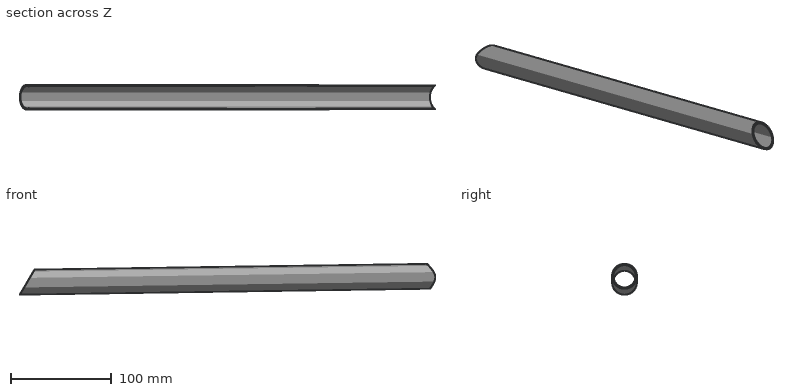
import cadquery as cq
import math

outer_diameter = 25.0
wall = 1.5
axis_length = 398.69
tube_slope = 0.831
mitre_lean = 30.5
saddle_radius = 15.0
saddle_lean = 7.0

outer_radius = outer_diameter / 2
inner_radius = outer_radius - wall
end_allowance = 2 * outer_diameter
cutter_size = 4 * outer_diameter

slope = math.radians(tube_slope)
axis_direction = cq.Vector(math.cos(slope), 0, math.sin(slope))
mitre_centre = cq.Vector(0, 0, 0)


def make_tube():
    """Plain sloping tube, overlong at both ends."""
    start = mitre_centre - axis_direction * end_allowance
    profile_plane = cq.Plane(origin=start, xDir=(0, -1, 0), normal=axis_direction)
    return (
        cq.Workplane(profile_plane)
        .circle(outer_radius)
        .circle(inner_radius)
        .extrude(axis_length + 2 * end_allowance)
    )


def make_mitre_cutter():
    """Block on the -X side of the flat, leaning mitre face."""
    lean = math.radians(mitre_lean)
    outward = cq.Vector(-math.cos(lean), 0, math.sin(lean))
    face_plane = cq.Plane(origin=mitre_centre, xDir=(0, 1, 0), normal=outward)
    return cq.Workplane(face_plane).rect(cutter_size, cutter_size).extrude(cutter_size)


def make_saddle_cutter():
    """Leaning cylinder, plus a block beyond its axis to remove the overlong end."""
    lean = math.radians(saddle_lean)
    cutter_axis = cq.Vector(-math.sin(lean), 0, math.cos(lean))
    across = cq.Vector(math.cos(lean), 0, math.sin(lean))
    saddle_bottom = mitre_centre + axis_direction * axis_length
    section_plane = cq.Plane(
        origin=saddle_bottom + across * saddle_radius,
        xDir=across,
        normal=cutter_axis,
    )
    section = cq.Workplane(section_plane)
    cylinder = section.circle(saddle_radius).extrude(cutter_size / 2, both=True)
    block = (
        section.center(cutter_size / 2, 0)
        .rect(cutter_size, 2 * saddle_radius)
        .extrude(cutter_size / 2, both=True)
    )
    return cylinder.union(block)


result = make_tube().cut(make_mitre_cutter()).cut(make_saddle_cutter())